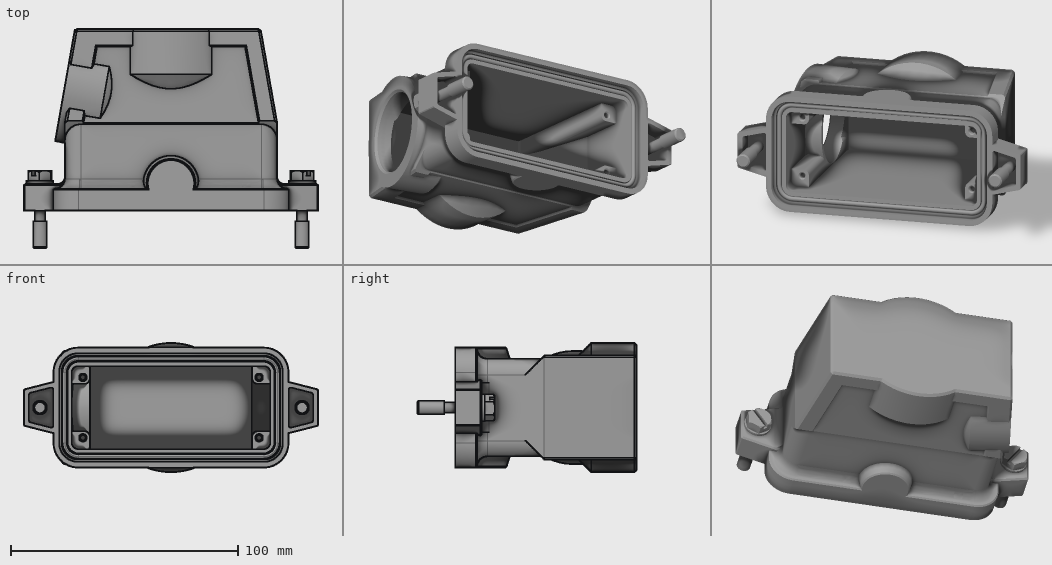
import math

import cadquery as cq

hood_length = 80.0
taper = math.radians(10)

margin = 0.1

flange_half_x = 51.8
flange_half_z = 26.46
flange_height = 9.7
flange_radius = 11.0
flange_edge = 0.6
flange_fillet = 4.4

body_half_x = 46.7
body_half_z = 21.5
body_radius = 7.0

shoulder_y = 39.0
ledge_y = 31.0
ledge_half_z = body_half_z - body_radius
frame_half_z = 23.06
panel_half_z = 22.1
panel_draft = 35.0
frame_top_width = 7.2
frame_side_width = 7.6
block_edge = 1.0

cavity_half_x = 43.75
cavity_half_z = 18.3
cavity_radius = 3.0
cavity_shoulder_y = 34.0
ceiling_y = 74.8
ceiling_half_x = 35.5
post_inner_x = 35.8
post_inner_z = 10.4
post_start_y = 12.6
post_radius = 2.3
post_hole_x = 38.8
post_hole_z = 13.3
post_hole_radius = 1.2
post_hole_depth = 12.0
post_hole_chamfer = 0.5
chamfer_angle = 45.0

rim_width = 2.5
recess_depth = 3.5
groove_outer_offset = 3.6
groove_inner_offset = 6.3
groove_depth = 1.5
seal_clearance = 0.4
seal_height = 1.9
seal_round = 0.94

top_boss_radius = 28.5
top_boss_end_y = 60.0

entry_radius = 24.95
entry_bore_radius = 17.9
entry_bore_chamfer = 1.0
entry_bore_depth = 20.0
entry_length = 17.8
entry_y = 55.1
entry_collar_radius = 20.0
entry_offset = 2.86

knuckle_y = 12.0
knuckle_base_radius = 12.2
knuckle_top_radius = 10.8
knuckle_edge = 0.6

ear_root_x = 45.0
ear_tip_x = 64.75
ear_tip_half_z = 8.0
ear_flange_half_z = 11.3
ear_height = 11.8
ear_wall = 2.2
ear_floor = 3.0
ear_edge = 0.7
ear_pocket_radius = 1.0
ear_fillet = 3.0
ear_fillet_half_z = 10.9

screw_x = 57.7
washer_radius = 5.95
washer_height = 1.3
head_sides = 6
head_radius = 5.8
head_height = 4.5
head_edge = 0.7
head_turn = 4.0
head_slot_width = 1.7
head_slot_depth = 2.2
neck_radius = 2.35
thread_radius = 3.05
thread_start_y = -4.7
thread_end_y = -16.6
thread_edge = 0.6


def plane_at(y):
    """Workplane at height y: local x is X, local y is Z; a negative extrusion runs towards +Y."""
    return cq.Workplane("XZ", origin=(0, y, 0))


def rounded_prism(half_x, half_z, radius, y_start, y_end):
    prism = plane_at(y_start).rect(2 * half_x, 2 * half_z).extrude(y_start - y_end)
    return prism.edges("|Y").fillet(radius)


def flange_prism(offset, y_start, y_end):
    """Prism whose outline is the flange outline moved inwards by offset."""
    return rounded_prism(
        flange_half_x - offset, flange_half_z - offset, flange_radius - offset, y_start, y_end
    )


def cylinder(x, z, radius, y_start, y_end):
    return plane_at(y_start).center(x, z).circle(radius).extrude(y_start - y_end)


def both_sides(shape, mirror_plane):
    return shape.union(shape.mirror(mirror_plane))


def wall_x(y):
    """Half width of the upper block at height y."""
    return body_half_x - max(0.0, y - shoulder_y) * math.tan(taper)


def make_lower_body():
    flange = flange_prism(0, 0, flange_height).faces(">Y").edges().chamfer(flange_edge)
    body = rounded_prism(body_half_x, body_half_z, body_radius, 0, shoulder_y)
    root = cq.selectors.BoxSelector(
        (-body_half_x - margin, flange_height - margin, -body_half_z - margin),
        (body_half_x + margin, flange_height + margin, body_half_z + margin),
    )
    return flange.union(body).edges(root).fillet(flange_fillet)


def make_entry_pad():
    """Thickened upper part of the -X end wall, flush with the entry face."""
    inner_x = wall_x(hood_length) - block_edge
    outline = [
        (-inner_x, entry_y),
        (-wall_x(entry_y) - entry_offset, entry_y),
        (-wall_x(hood_length) - entry_offset, hood_length),
        (-inner_x, hood_length),
    ]
    pad = cq.Workplane("XY").polyline(outline).close().extrude(frame_half_z, both=True)
    return pad.edges("(not >X) and (not <Y)").chamfer(block_edge)


def make_upper_block():
    outline = [
        (-body_half_x, ledge_y),
        (-body_half_x, shoulder_y),
        (-wall_x(hood_length), hood_length),
        (wall_x(hood_length), hood_length),
        (body_half_x, shoulder_y),
        (body_half_x, ledge_y),
    ]
    block = cq.Workplane("XY").polyline(outline).close().extrude(frame_half_z, both=True)
    ledge_top_y = ledge_y + frame_half_z - ledge_half_z
    section = [
        (ledge_y, -ledge_half_z),
        (ledge_top_y, -frame_half_z),
        (hood_length, -frame_half_z),
        (hood_length, frame_half_z),
        (ledge_top_y, frame_half_z),
        (ledge_y, ledge_half_z),
    ]
    bar = cq.Workplane("YZ").polyline(section).close().extrude(flange_half_x, both=True)
    above_ledge = cq.selectors.BoxSelector(
        (-flange_half_x, ledge_top_y + margin, -flange_half_z),
        (flange_half_x, hood_length + margin, flange_half_z),
    )
    block = block.intersect(bar).edges(above_ledge).chamfer(block_edge)
    block = block.union(make_entry_pad())
    panel_top_y = hood_length - frame_top_width
    panel_top_x = wall_x(panel_top_y) - frame_side_width
    panel_base_x = panel_top_x + (panel_top_y - ledge_y) * math.tan(taper)
    step = frame_half_z - panel_half_z
    panel_cut = (
        cq.Workplane("XY", origin=(0, 0, frame_half_z))
        .polyline([
            (-panel_base_x, ledge_y),
            (-panel_top_x, panel_top_y),
            (panel_top_x, panel_top_y),
            (panel_base_x, ledge_y),
        ])
        .close()
        .extrude(-step, taper=panel_draft)
    )
    return block.cut(both_sides(panel_cut, "XY"))


def make_cavity():
    outline = [
        (-cavity_half_x, 0),
        (-cavity_half_x, cavity_shoulder_y),
        (-ceiling_half_x, ceiling_y),
        (ceiling_half_x, ceiling_y),
        (cavity_half_x, cavity_shoulder_y),
        (cavity_half_x, 0),
    ]
    tapered = cq.Workplane("XY").polyline(outline).close().extrude(cavity_half_z, both=True)
    return tapered.intersect(
        rounded_prism(cavity_half_x, cavity_half_z, cavity_radius, 0, ceiling_y)
    )


def make_posts(cavity):
    post = (
        plane_at(post_start_y)
        .moveTo(post_inner_x, post_inner_z)
        .lineTo(cavity_half_x, post_inner_z)
        .lineTo(cavity_half_x, cavity_half_z)
        .lineTo(post_inner_x, cavity_half_z)
        .close()
        .extrude(post_start_y - ceiling_y)
        .edges("|Y and <X and <Z")
        .fillet(post_radius)
    )
    hole = cylinder(
        post_hole_x, post_hole_z, post_hole_radius, post_start_y, post_start_y + post_hole_depth
    )
    mouth = (
        plane_at(post_start_y)
        .center(post_hole_x, post_hole_z)
        .circle(post_hole_radius + post_hole_chamfer)
        .extrude(-post_hole_chamfer, taper=chamfer_angle)
    )
    post = post.intersect(cavity).cut(hole).cut(mouth)
    return both_sides(both_sides(post, "XY"), "YZ")


def make_recess():
    groove_floor_y = recess_depth + groove_depth
    groove = flange_prism(groove_outer_offset, recess_depth, groove_floor_y).cut(
        flange_prism(groove_inner_offset, recess_depth, groove_floor_y)
    )
    return flange_prism(rim_width, 0, recess_depth).union(groove)


def make_seal():
    floor_y = recess_depth + groove_depth
    crown_y = floor_y - seal_height
    seal = flange_prism(groove_outer_offset + seal_clearance, crown_y, floor_y).cut(
        flange_prism(groove_inner_offset - seal_clearance, crown_y, floor_y)
    )
    return seal.faces("<Y").edges().fillet(seal_round)


def make_boss(radius, length, end_depth):
    """Cylinder along +Y from the origin, closed by a 45 degree cone."""
    profile = [
        (0, 0),
        (radius, 0),
        (radius, length),
        (radius - end_depth, length + end_depth),
        (0, length + end_depth),
    ]
    return cq.Workplane("XY").polyline(profile).close().revolve(360, (0, 0, 0), (0, 1, 0))


def make_top_boss():
    length = hood_length - top_boss_end_y
    cone_depth = top_boss_radius - body_half_z
    boss = make_boss(top_boss_radius, length, cone_depth).faces("<Y").edges().chamfer(block_edge)
    return boss.rotate((0, 0, 0), (0, 0, 1), 180).translate((0, hood_length, 0))


def place_entry(shape):
    """Move a shape built along +Y onto the entry axis, pointing into the hood."""
    angle = -90 - math.degrees(taper)
    face_x = -wall_x(entry_y) - entry_offset
    return shape.rotate((0, 0, 0), (0, 0, 1), angle).translate((face_x, entry_y, 0))


def make_entry():
    return place_entry(make_boss(entry_radius, entry_length, entry_radius - body_half_z))


def make_entry_bore():
    mouth_radius = entry_bore_radius + entry_bore_chamfer
    profile = [
        (0, 0),
        (mouth_radius, 0),
        (entry_bore_radius, entry_bore_chamfer),
        (entry_bore_radius, entry_bore_depth),
        (0, entry_bore_depth),
    ]
    bore = cq.Workplane("XY").polyline(profile).close().revolve(360, (0, 0, 0), (0, 1, 0))
    return place_entry(bore)


def make_entry_collar(cavity):
    """Half-round wall under the entry bore, filling the gap between the two -X posts."""
    collar = place_entry(
        cq.Workplane("XZ").circle(entry_collar_radius).extrude(-entry_bore_depth)
    )
    half_z = post_inner_z + post_radius
    gap = cq.Workplane("XY").box(
        cavity_half_x - post_inner_x, entry_y, 2 * half_z, centered=(False, False, True)
    ).translate((-cavity_half_x, 0, 0))
    return collar.intersect(gap).intersect(cavity)


def make_knuckles():
    profile = [
        (0, body_half_z),
        (knuckle_base_radius, body_half_z),
        (knuckle_top_radius, flange_half_z - knuckle_edge),
        (knuckle_top_radius - knuckle_edge, flange_half_z),
        (0, flange_half_z),
    ]
    knuckle = cq.Workplane("XZ").polyline(profile).close().revolve(360, (0, 0, 0), (0, 1, 0))
    flange_zone = plane_at(0).rect(2 * flange_half_x, 2 * flange_half_z).extrude(-hood_length)
    knuckle = knuckle.translate((0, knuckle_y, 0)).intersect(flange_zone)
    return both_sides(knuckle, "XY")


def make_ear():
    slope = (ear_flange_half_z - ear_tip_half_z) / (ear_tip_x - flange_half_x)

    def half_width(x):
        return ear_tip_half_z + slope * (ear_tip_x - x)

    def outline(x_start, x_end, inset):
        return [
            (x_start, -half_width(x_start) + inset),
            (x_end, -half_width(x_end) + inset),
            (x_end, half_width(x_end) - inset),
            (x_start, half_width(x_start) - inset),
        ]

    ear = plane_at(0).polyline(outline(ear_root_x, ear_tip_x, 0)).close().extrude(-ear_height)
    ear = ear.edges(">X and |Y").chamfer(ear_edge / 2).faces(">Y").edges("not <X").chamfer(ear_edge)
    pocket_outline = outline(flange_half_x, ear_tip_x - ear_wall, ear_wall)
    pocket = plane_at(0).polyline(pocket_outline).close().extrude(ear_floor - ear_height)
    pocket = pocket.edges("|Y").fillet(ear_pocket_radius)
    fillet_end_x = body_half_x + ear_fillet
    fillet_end_y = ear_height + ear_fillet
    arc_inset = ear_fillet * (1 - math.sqrt(0.5))
    root_fillet = (
        cq.Workplane("XY")
        .moveTo(ear_root_x, ear_height)
        .lineTo(fillet_end_x, ear_height)
        .threePointArc(
            (body_half_x + arc_inset, ear_height + arc_inset), (body_half_x, fillet_end_y)
        )
        .lineTo(ear_root_x, fillet_end_y)
        .close()
        .extrude(ear_fillet_half_z, both=True)
    )
    return ear.union(root_fillet), pocket


def make_screw():
    head_base_y = ear_height + washer_height
    head_top_y = head_base_y + head_height
    neck = cylinder(0, 0, neck_radius, thread_start_y, ear_height)
    thread = cylinder(0, 0, thread_radius, thread_end_y, thread_start_y)
    thread = thread.faces("<Y").edges().chamfer(thread_edge)
    washer = cylinder(0, 0, washer_radius, ear_height, head_base_y)
    hexagon = plane_at(head_base_y).polygon(head_sides, 2 * head_radius).extrude(-head_height)
    slot = plane_at(head_top_y).rect(head_slot_width, 2 * head_radius).extrude(head_slot_depth)
    round_blank = cylinder(0, 0, head_radius, head_base_y, head_top_y)
    round_blank = round_blank.faces(">Y").edges().chamfer(head_edge)
    head = hexagon.cut(slot).intersect(round_blank)
    half_flat_angle = 360 / head_sides / 2
    head = head.rotate((0, 0, 0), (0, 1, 0), half_flat_angle + head_turn)
    return neck.union(thread).union(washer).union(head).translate((screw_x, 0, 0))


cavity = make_cavity()
ear, ear_pocket = make_ear()

hood = make_lower_body().union(make_upper_block())
hood = hood.union(make_top_boss()).union(make_entry()).union(make_knuckles())
hood = hood.union(both_sides(ear, "YZ")).cut(both_sides(ear_pocket, "YZ"))
hood = hood.cut(cavity).union(make_posts(cavity)).union(make_entry_collar(cavity))
hood = hood.cut(make_entry_bore()).cut(make_recess()).union(make_seal())
result = hood.union(both_sides(make_screw(), "YZ"))